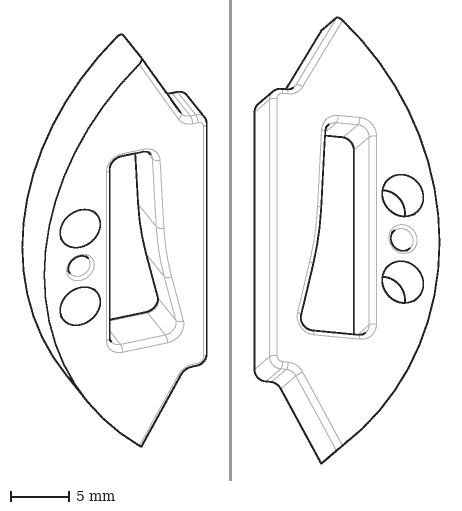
import cadquery as cq
import math

thickness = 5.0
depth = 15.22
height = 38.73

front_radius = 25.02
tip_z = height / 2
tip_y = front_radius - math.sqrt(front_radius**2 - tip_z**2)

back_half_height = 12.5
shoulder_angle = 60.0
shoulder_y = tip_y + (tip_z - back_half_height) / math.tan(math.radians(shoulder_angle))

corner_radius = 1.0
edge_radius = 0.5

window_front_y = 6.25
window_top_z = 10.0
window_bottom_z = -8.83
window_top_y = 10.15
bend_y = 10.7
bend_z = -0.43
window_bottom_y = 12.65
bend_radius = 29.05

hole_row_y = 3.35
large_hole_diameter = 3.7
large_hole_z = 3.87
small_hole_diameter = 2.0
small_hole_edge_radius = 0.27


def side_sketch():
    """Workplane on the -X face, with local axes along Y and Z."""
    return cq.Workplane("YZ", origin=(-thickness / 2, 0, 0))


def corner(y, z):
    """Select the X-direction edge through the given point."""
    reach = 0.05
    return cq.selectors.BoxSelector(
        (-thickness, y - reach, z - reach), (thickness, y + reach, z + reach)
    )


def make_plate():
    plate = (
        side_sketch()
        .moveTo(tip_y, -tip_z)
        .threePointArc((0, 0), (tip_y, tip_z))
        .lineTo(shoulder_y, back_half_height)
        .lineTo(depth, back_half_height)
        .lineTo(depth, -back_half_height)
        .lineTo(shoulder_y, -back_half_height)
        .close()
        .extrude(thickness)
    )
    for y in (shoulder_y, depth):
        for z in (-back_half_height, back_half_height):
            plate = plate.edges(corner(y, z)).fillet(corner_radius)
    return plate.faces("<X or >X").edges(cq.selectors.BoxSelector(
        (-thickness, tip_y, -height), (thickness, depth + edge_radius, height)
    )).fillet(edge_radius)


def make_window():
    corners = [
        (window_front_y, window_bottom_z),
        (window_front_y, window_top_z),
        (window_top_y, window_top_z),
        (window_bottom_y, window_bottom_z),
    ]
    outline = corners[:3] + [(bend_y, bend_z)] + corners[3:]
    window = side_sketch().polyline(outline).close().extrude(thickness)
    window = window.edges(corner(bend_y, bend_z)).fillet(bend_radius)
    for y, z in corners:
        window = window.edges(corner(y, z)).fillet(corner_radius)
    return window


def make_hole(diameter, z):
    return side_sketch().center(hole_row_y, z).circle(diameter / 2).extrude(thickness)


def cut_rounded(body, cutter, radius):
    """Cut an opening through the plate and round its rim on both faces."""
    box = cutter.val().BoundingBox()
    margin = 0.05
    rim = cq.selectors.BoxSelector(
        (-thickness, box.ymin - margin, box.zmin - margin),
        (thickness, box.ymax + margin, box.zmax + margin),
        boundingbox=True,
    )
    return body.cut(cutter).faces("<X or >X").edges(rim).fillet(radius)


result = make_plate()
result = cut_rounded(result, make_window(), edge_radius)
result = cut_rounded(result, make_hole(small_hole_diameter, 0), small_hole_edge_radius)
for hole_z in (-large_hole_z, large_hole_z):
    result = result.cut(make_hole(large_hole_diameter, hole_z))